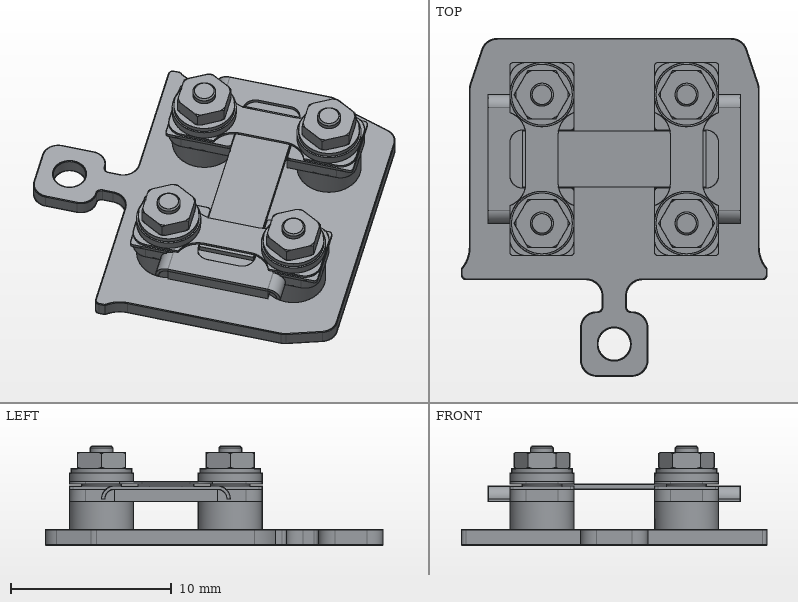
import cadquery as cq
import math

POST_SPACING_X = 8.99
POST_SPACING_Y = 8.0
POST_X = POST_SPACING_X / 2
POST_Y = POST_SPACING_Y / 2
POST_RADIUS = 2.0

BASE_THICKNESS = 1.0
BASE_HALF_LENGTH = 7.5
BASE_HALF_WIDTH = 9.0
BASE_TOP_HALF_WIDTH = 8.0
TAPER_START_Y = 4.5
OVERALL_WIDTH = 19.0
WING_HALF_WIDTH = OVERALL_WIDTH / 2
WING_FLARE_START_Y = -5.5
WING_FLARE_RADIUS = 2.0
WING_CORNER_RADIUS = 0.3
CORNER_RADIUS = 1.0
BASE_EDGE_CHAMFER = 0.05

NECK_HALF_WIDTH = 0.75
NECK_END_RADIUS = 0.3
TAB_HALF_WIDTH = 2.1
TAB_LENGTH = 4.01
OVERALL_LENGTH = 21
TAB_END_Y = BASE_HALF_LENGTH - OVERALL_LENGTH
TAB_HOLE_RADIUS = 1.0

POST_TOP = 2.73
BLOCK_TOP = 3.49
SHEET_TOP = 3.7
CLAMP_BOTTOM = 3.82
CLAMP_TOP = 3.97
LOWER_WASHER_TOP = 4.5
UPPER_WASHER_TOP = 4.79
NUT_TOP = 5.8
STUD_TOP = 6.17

COLLAR_RADIUS = 1.24
UPPER_WASHER_RADIUS = 1.9
NUT_ACROSS_FLATS = 3.0
NUT_CHAMFER = (0.08, 0.1)
STUD_RADIUS = 0.71
STUD_CHAMFER = 0.1

CLAMP_END_HALF_WIDTH = POST_RADIUS
CLAMP_WAIST_HALF_WIDTH = 1.0
CLAMP_WAIST_RADIUS = 1.5
CLAMP_WAIST_HALF_LENGTH = 1.5
STRIP_HALF_WIDTH = 1.75
STRIP_HALF_LENGTH = 5.71

CONTACT_OUTER_X = 7.83
CONTACT_INNER_X = POST_X - POST_RADIUS
CONTACT_PAD_OUTER_X = POST_X + POST_RADIUS
CONTACT_HALF_LENGTH = POST_Y + POST_RADIUS
SHEET_CORNER_RADIUS = 0.2
NOTCH_HALF_WIDTH = 1.8
NOTCH_CORNER_RADIUS = 0.8
LIP_RADIUS = 0.8
LIP_START_Y = POST_Y - LIP_RADIUS


def box(x_range, y_range, z_range):
    """Box spanning the given (low, high) ranges."""
    size = [high - low for low, high in (x_range, y_range, z_range)]
    corner = cq.Vector(x_range[0], y_range[0], z_range[0])
    return cq.Workplane(cq.Solid.makeBox(*size, pnt=corner))


def cylinder(radius, z_low, z_high):
    """Vertical cylinder on the Z axis between two levels."""
    return cq.Workplane().workplane(offset=z_low).circle(radius).extrude(z_high - z_low)


def at_posts(shape, x_signs=(-1, 1)):
    """Copies of a shape on the post axes of the given sides."""
    places = [(x * POST_X, y * POST_Y) for x in x_signs for y in (-1, 1)]
    return [shape.translate((x, y, 0)) for x, y in places]


def fuse(shape, parts):
    """Union of a shape with every part in a list."""
    for part in parts:
        shape = shape.union(part)
    return shape


def upright_edges_near(x_low, x_high, y_low, y_high):
    """Selector for the upright edges whose centres lie in a plan rectangle, give or take a margin."""
    margin = 0.02
    low_corner = (x_low - margin, y_low - margin, 0)
    high_corner = (x_high + margin, y_high + margin, STUD_TOP)
    return cq.selectors.BoxSelector(low_corner, high_corner)



def round_corners(shape, radius, points):
    """Round the upright edges at the given plan points and at their mirror points across X = 0."""
    for x, y in points:
        for side in (-1, 1):
            shape = shape.edges("|Z").edges(upright_edges_near(side * x, side * x, y, y)).fillet(radius)
    return shape


def base_plate():
    """Plate with tapered shoulders, flared wings at the -Y end and a handle tab with a hole."""
    body_side = [
        (BASE_TOP_HALF_WIDTH, BASE_HALF_LENGTH),
        (BASE_HALF_WIDTH, TAPER_START_Y),
    ]
    flare_width = WING_HALF_WIDTH - BASE_HALF_WIDTH
    flare_length = math.sqrt(WING_FLARE_RADIUS**2 - (WING_FLARE_RADIUS - flare_width) ** 2)
    flare_start = (BASE_HALF_WIDTH, WING_FLARE_START_Y)
    flare_end = (WING_HALF_WIDTH, WING_FLARE_START_Y - flare_length)
    wing_corner = (WING_HALF_WIDTH, -BASE_HALF_LENGTH)
    tab_start_y = TAB_END_Y + TAB_LENGTH
    handle_side = [
        (NECK_HALF_WIDTH, -BASE_HALF_LENGTH),
        (NECK_HALF_WIDTH, tab_start_y),
        (TAB_HALF_WIDTH, tab_start_y),
        (TAB_HALF_WIDTH, TAB_END_Y),
        (0, TAB_END_Y),
    ]
    half = (
        cq.Workplane()
        .polyline([(0, BASE_HALF_LENGTH), *body_side, flare_start])
        .tangentArcPoint(flare_end, relative=False)
        .polyline([wing_corner, *handle_side], includeCurrent=True)
        .close()
        .extrude(BASE_THICKNESS)
    )
    plate = half.union(half.mirror("YZ"))

    neck_start, neck_end, *tab_corners = handle_side[:4]
    plate = round_corners(plate, WING_CORNER_RADIUS, [wing_corner])
    plate = round_corners(plate, NECK_END_RADIUS, [neck_end])
    plate = round_corners(plate, CORNER_RADIUS, [*body_side, neck_start, *tab_corners])
    hole_y = TAB_END_Y + TAB_LENGTH / 2
    plate = plate.cut(cylinder(TAB_HOLE_RADIUS, 0, BASE_THICKNESS).translate((0, hole_y, 0)))
    return plate.faces("<Z or >Z").chamfer(BASE_EDGE_CHAMFER)


def nut():
    """Hexagon with flats facing +Y and -Y, its corners bevelled top and bottom."""
    corner_diameter = NUT_ACROSS_FLATS / math.cos(math.pi / 6)
    height = NUT_TOP - UPPER_WASHER_TOP
    hexagon = cq.Workplane().workplane(offset=UPPER_WASHER_TOP).polygon(6, corner_diameter).extrude(height)
    envelope = cylinder(corner_diameter / 2, UPPER_WASHER_TOP, NUT_TOP)
    return hexagon.intersect(envelope.faces("<Z or >Z").chamfer(*NUT_CHAMFER))


def post_stack():
    """Post, collar, washers, nut and stud end on one axis."""
    post = cylinder(POST_RADIUS, BASE_THICKNESS, POST_TOP)
    collar = cylinder(COLLAR_RADIUS, POST_TOP, CLAMP_TOP)
    lower_washer = cylinder(POST_RADIUS, CLAMP_TOP, LOWER_WASHER_TOP)
    upper_washer = cylinder(UPPER_WASHER_RADIUS, LOWER_WASHER_TOP, UPPER_WASHER_TOP)
    stud = cylinder(STUD_RADIUS, NUT_TOP, STUD_TOP).faces(">Z").chamfer(STUD_CHAMFER)
    return fuse(post, [collar, lower_washer, upper_washer, nut(), stud])


def contact_block():
    """C-shaped block of the +X side: a pad on each post joined by an outer bar."""
    pads = box(
        (CONTACT_INNER_X, CONTACT_PAD_OUTER_X),
        (-CONTACT_HALF_LENGTH, CONTACT_HALF_LENGTH),
        (POST_TOP, BLOCK_TOP),
    )
    pads = pads.edges("|Z").fillet(CORNER_RADIUS)
    bar = box((POST_X, CONTACT_OUTER_X), (-LIP_START_Y, LIP_START_Y), (POST_TOP, BLOCK_TOP))
    recess = box(
        (CONTACT_INNER_X, POST_X),
        (-NOTCH_HALF_WIDTH, NOTCH_HALF_WIDTH),
        (POST_TOP, BLOCK_TOP),
    )
    return pads.union(bar).cut(recess)


def clamp():
    """Thin plate over the two posts of the +X side, waisted between them by round cut-outs."""
    plate = box(
        (POST_X - CLAMP_END_HALF_WIDTH, POST_X + CLAMP_END_HALF_WIDTH),
        (-CONTACT_HALF_LENGTH, CONTACT_HALF_LENGTH),
        (CLAMP_BOTTOM, CLAMP_TOP),
    )
    plate = plate.edges("|Z").fillet(CORNER_RADIUS)
    cutter_offset = CLAMP_WAIST_HALF_WIDTH + CLAMP_WAIST_RADIUS
    cutter = (
        cq.Workplane()
        .workplane(offset=CLAMP_BOTTOM)
        .slot2D(2 * (CLAMP_WAIST_HALF_LENGTH + CLAMP_WAIST_RADIUS), 2 * CLAMP_WAIST_RADIUS, 90)
        .extrude(CLAMP_TOP - CLAMP_BOTTOM)
    )
    for side in (-1, 1):
        plate = plate.cut(cutter.translate((POST_X + side * cutter_offset, 0, 0)))
    return plate


def strip():
    """Flat strip bridging the two blocks, held down by the clamps."""
    return box(
        (-STRIP_HALF_LENGTH, STRIP_HALF_LENGTH),
        (-STRIP_HALF_WIDTH, STRIP_HALF_WIDTH),
        (BLOCK_TOP, CLAMP_BOTTOM),
    )


def carrier():
    """Everything fixed to the base, as one solid."""
    blocks = [contact_block(), contact_block().mirror("YZ")]
    clamps = [clamp(), clamp().mirror("YZ")]
    return fuse(base_plate(), [*at_posts(post_stack()), *blocks, *clamps, strip()])



def contact_sheet():
    """Thin sheet on the block, notched around the strip end."""
    levels = (BLOCK_TOP, SHEET_TOP)
    pads = box((CONTACT_INNER_X, CONTACT_PAD_OUTER_X), (-CONTACT_HALF_LENGTH, CONTACT_HALF_LENGTH), levels)
    notch = box((CONTACT_INNER_X, CONTACT_PAD_OUTER_X), (-NOTCH_HALF_WIDTH, NOTCH_HALF_WIDTH), levels)
    notch = notch.edges("|Z and >X").fillet(NOTCH_CORNER_RADIUS)
    ledge = box((CONTACT_PAD_OUTER_X, CONTACT_OUTER_X), (-LIP_START_Y, LIP_START_Y), levels)
    pads = pads.edges("|Z").fillet(SHEET_CORNER_RADIUS)
    sheet = pads.union(ledge).cut(notch)
    notch_mouth = upright_edges_near(CONTACT_INNER_X, CONTACT_INNER_X, -NOTCH_HALF_WIDTH, NOTCH_HALF_WIDTH)
    return sheet.edges("|Z").edges(notch_mouth).fillet(SHEET_CORNER_RADIUS)


def curled_lip():
    """Quarter-round lip that turns the +Y end of the sheet's outer ledge downwards."""
    inner_radius = LIP_RADIUS - (SHEET_TOP - BLOCK_TOP)
    axis_z = SHEET_TOP - LIP_RADIUS
    ring = (
        cq.Workplane("YZ", origin=(CONTACT_PAD_OUTER_X, 0, 0))
        .center(LIP_START_Y, axis_z)
        .circle(LIP_RADIUS)
        .circle(inner_radius)
        .extrude(CONTACT_OUTER_X - CONTACT_PAD_OUTER_X)
    )
    quarter = box((CONTACT_PAD_OUTER_X, CONTACT_OUTER_X), (LIP_START_Y, POST_Y), (axis_z, SHEET_TOP))
    return ring.intersect(quarter)


def contact():
    """Contact of the +X side."""
    lips = [curled_lip(), curled_lip().mirror("XZ")]
    body = fuse(contact_sheet(), lips)
    for collar_hole in at_posts(cylinder(COLLAR_RADIUS, BLOCK_TOP, SHEET_TOP), x_signs=(1,)):
        body = body.cut(collar_hole)
    return body


carrier_body = carrier()
contact_bodies = [contact(), contact().mirror("YZ")]

result = cq.Compound.makeCompound([carrier_body.val(), *[body.val() for body in contact_bodies]])